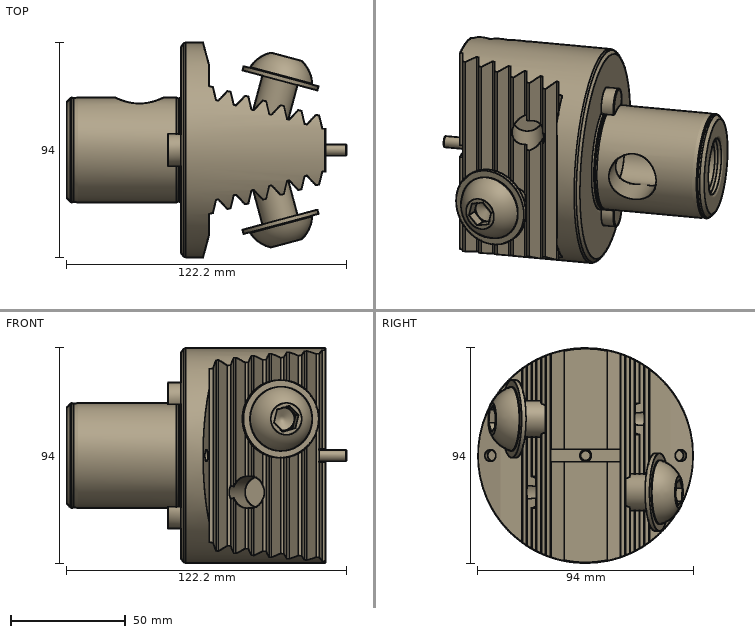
import cadquery as cq
import math


spigot_r = 23.0
nose_r = 20.9
nose_chamfer_x = 1.6
nose_chamfer_r = 22.6
nose_crest_x = 2.3
nose_groove_start_x = 3.0
nose_groove_end_x = 3.4
nose_groove_r = 22.7
spigot_start_x = 4.9

bore_mouth_r = 13.6
bore_mouth_depth = 0.7
bore_mouth_middle = (0.2, 12.8)
counterbore_r = 12.3
counterbore_depth = 2.3
counterbore_cone_depth = 1.0
bore_r = 10.9
bore_depth = 44.0
drill_angle = 120.0

cross_hole_r = 10.6
cross_hole_x = 31.8

relief_start_x = 47.8
relief_bottom_x = 48.6
relief_bottom_end_x = 49.2
relief_r = 22.6
relief_face_depth = 0.2
relief_corner_r = 23.3
relief_face_r = 24.7

flange_x = 49.9
head_end_x = 113.0
head_d = 94.0
head_r = head_d / 2
flange_face_r = 45.0
flange_chamfer_x = 51.1
flange_chamfer_r = 46.5
head_start_x = 51.9
end_chamfer = 0.4

flank_count = 2
flank_angle = 15.0
flank_tan = math.tan(math.radians(flank_angle))
wall_x = 62.2
wall_top_y = 37.1
tooth_count = 7
first_tip_x = 63.9
first_tip_y = 27.5
rack_length = 48.0
tooth_pitch = rack_length / (tooth_count - 1)
tooth_height = 5.1
tip_width = 1.5
root_width = 1.0
flank_run = (tooth_pitch - tip_width - root_width) / 2

coolant_hole_d = 5.0
coolant_hole_depth = 4.9
coolant_hole_y = 41.5

slot_x = 110.2
slot_width = 5.5
pin_d = 5.0
pin_end_x = 122.2
pin_chamfer = 0.4

key_r = 7.1
key_z = 24.8
key_inner_r = 23.3
key_length = 5.7
key_chamfer = 0.4

seat_x = 93.6
seat_y = 32.3
seat_z = 16.0
shank_d = 16.0
shank_length = 35.0
screw_head_r = 14.0
screw_head_flat_r = 7.0
screw_head_height = 8.8
screw_head_rim = 0.4
hex_flats = 10.0
hex_depth = 5.0
hex_turn = 16.3
screw_exit_d = 13.8
washer_r = 17.0
washer_thickness = 2.0

beyond = 61.1


def half_turn(shape, turns):
    """Turn a shape about the tool axis by the given number of half turns."""
    return shape.rotate((0, 0, 0), (1, 0, 0), 180 * turns)


def cone_depth(radius):
    """Height of the cone a drill of this radius leaves."""
    return radius / math.tan(math.radians(drill_angle / 2))


def turned_body():
    """Spigot, flange and head as one turned solid with its stepped bore."""
    outer_profile = [
        (nose_chamfer_x, nose_chamfer_r),
        (nose_crest_x, spigot_r),
        (nose_groove_start_x, nose_groove_r),
        (nose_groove_end_x, nose_groove_r),
        (spigot_start_x, spigot_r),
        (relief_start_x, spigot_r),
        (relief_bottom_x, relief_r),
        (relief_bottom_end_x, relief_r),
        (flange_x + relief_face_depth, relief_corner_r),
        (flange_x, relief_face_r),
        (flange_x, flange_face_r),
        (flange_chamfer_x, flange_chamfer_r),
        (head_start_x, head_r),
        (head_end_x - end_chamfer, head_r),
        (head_end_x, head_r - end_chamfer),
        (head_end_x, 0),
    ]
    bore_profile = [
        (bore_depth, bore_r),
        (counterbore_depth + counterbore_cone_depth, bore_r),
        (counterbore_depth, counterbore_r),
        (bore_mouth_depth, counterbore_r),
    ]
    half_section = (
        cq.Workplane("XY")
        .moveTo(bore_depth + cone_depth(bore_r), 0)
        .polyline(bore_profile, includeCurrent=True)
        .threePointArc(bore_mouth_middle, (0, bore_mouth_r))
        .lineTo(0, nose_r)
        .polyline(outer_profile, includeCurrent=True)
        .close()
    )
    return half_section.revolve(360, (0, 0), (1, 0))


def cross_hole():
    """Radial hole from the +Y side of the spigot into the bore."""
    return cq.Workplane("XZ").center(cross_hole_x, 0).circle(cross_hole_r).extrude(-beyond)


def rack_point(along, down):
    """Point at a distance along the row of tooth tips and a depth below it, on the +Y side."""
    angle = math.radians(flank_angle)
    x = first_tip_x + along * math.cos(angle) - down * math.sin(angle)
    y = first_tip_y - along * math.sin(angle) - down * math.cos(angle)
    return (x, y)


def flank_cut():
    """Everything outside the teeth and the sloped wall on the +Y side."""
    sloped_wall_x = wall_x - (beyond - wall_top_y) * flank_tan
    first_tip_wall_y = first_tip_y + (first_tip_x - wall_x) * flank_tan
    outline = [(sloped_wall_x, beyond), (wall_x, wall_top_y), (wall_x, first_tip_wall_y)]
    for tooth in range(tooth_count):
        tip_end = tooth * tooth_pitch
        root_start = tip_end + flank_run
        outline.append(rack_point(tip_end, 0))
        outline.append(rack_point(root_start, tooth_height))
        if tooth < tooth_count - 1:
            outline.append(rack_point(root_start + root_width, tooth_height))
            outline.append(rack_point(root_start + root_width + flank_run, 0))
    end_root_x, end_root_y = outline[-1]
    outline.append((end_root_x + beyond, end_root_y))
    outline.append((end_root_x + beyond, beyond))
    return cq.Workplane("XY").polyline(outline).close().extrude(beyond, both=True)


def coolant_hole():
    """Blind hole square to the sloped wall on the +Y side."""
    angle = math.radians(flank_angle)
    x = wall_x - (coolant_hole_y - wall_top_y) * flank_tan
    inward = (-math.cos(angle), -math.sin(angle), 0)
    plane = cq.Plane(origin=(x, coolant_hole_y, 0), xDir=(0, 0, 1), normal=inward)
    drill = cq.Workplane(plane).workplane(offset=-coolant_hole_d)
    return drill.circle(coolant_hole_d / 2).extrude(coolant_hole_d + coolant_hole_depth)


def end_slot():
    """Slot through the head end, along Y."""
    length = head_end_x - slot_x
    slot = cq.Workplane("XY").box(length, 2 * beyond, slot_width)
    return slot.translate((slot_x + length / 2, 0, 0))


def screw_plane():
    """Plane under the head of the -Y screw, with its normal pointing out of the housing."""
    angle = math.radians(flank_angle)
    along = (math.cos(angle), math.sin(angle), 0)
    outward = (math.sin(angle), -math.cos(angle), 0)
    return cq.Plane(origin=(seat_x, -seat_y, seat_z), xDir=along, normal=outward)


def screw_hole():
    """Hole that fits the shank and goes on, narrower, out through the opposite teeth."""
    shank_hole = cq.Workplane(screw_plane()).circle(shank_d / 2).extrude(-shank_length)
    exit_hole = cq.Workplane(screw_plane()).circle(screw_exit_d / 2).extrude(-shank_length - beyond)
    return shank_hole.union(exit_hole)


def make_housing():
    """Turned body with the cross hole, the end slot and both toothed flanks cut into it."""
    body = turned_body().cut(cross_hole()).cut(end_slot())
    for turns in range(flank_count):
        for feature in (flank_cut(), coolant_hole(), screw_hole()):
            body = body.cut(half_turn(feature, turns))
    return body


def make_screw():
    """Button-head screw with a domed head, hexagon socket and plain shank."""
    dome_height = screw_head_height - screw_head_rim
    radii_difference = screw_head_flat_r**2 - screw_head_r**2
    centre_z = screw_head_rim + (dome_height**2 + radii_difference) / (2 * dome_height)
    dome_r = math.hypot(screw_head_r, screw_head_rim - centre_z)
    middle_z = screw_head_rim + dome_height / 2
    middle_r = math.sqrt(dome_r**2 - (middle_z - centre_z) ** 2)
    profile = (
        cq.Workplane("XZ")
        .moveTo(0, -shank_length)
        .lineTo(shank_d / 2, -shank_length)
        .lineTo(shank_d / 2, 0)
        .lineTo(screw_head_r, 0)
        .lineTo(screw_head_r, screw_head_rim)
        .threePointArc((middle_r, middle_z), (screw_head_flat_r, screw_head_height))
        .lineTo(0, screw_head_height)
        .close()
    )
    screw = profile.revolve(360, (0, 0), (0, 1))

    corner_d = hex_flats / math.cos(math.pi / 6)
    top = cq.Workplane("XY").workplane(offset=screw_head_height)
    socket = top.polygon(6, corner_d).extrude(-hex_depth).rotate((0, 0, 0), (0, 0, 1), hex_turn)
    floor_z = screw_head_height - hex_depth
    tip = cq.Solid.makeCone(
        hex_flats / 2, 0, cone_depth(hex_flats / 2), cq.Vector(0, 0, floor_z), cq.Vector(0, 0, -1)
    )
    return screw.cut(socket).cut(cq.Workplane(tip))


def make_washer():
    """Plain washer under the screw head."""
    return cq.Workplane("XY").circle(washer_r).circle(shank_d / 2).extrude(-washer_thickness)


def make_key():
    """Round drive key on the flange face, hollowed to clear the spigot."""
    key = cq.Workplane("YZ", origin=(flange_x, 0, 0)).center(0, key_z).circle(key_r).extrude(-key_length)
    key = key.faces("<X").chamfer(key_chamfer)
    clearance = cq.Workplane("YZ").circle(key_inner_r).extrude(flange_x)
    return key.cut(clearance)


def make_pin():
    """Locating pin on the tool axis."""
    pin = cq.Workplane("YZ", origin=(slot_x, 0, 0)).circle(pin_d / 2).extrude(pin_end_x - slot_x)
    return pin.faces(">X").chamfer(pin_chamfer)


def place_on_flank(shape, turns):
    """Move a shape modelled at the origin to a screw seat, then turn it to its flank."""
    seated = shape.val().moved(cq.Location(screw_plane()))
    return half_turn(seated, turns)


housing = make_housing()
pin = make_pin()
keys = [half_turn(make_key().val(), turns) for turns in range(flank_count)]
screws = [place_on_flank(make_screw(), turns) for turns in range(flank_count)]
washers = [place_on_flank(make_washer(), turns) for turns in range(flank_count)]

result = cq.Compound.makeCompound([housing.val(), pin.val(), *keys, *screws, *washers])